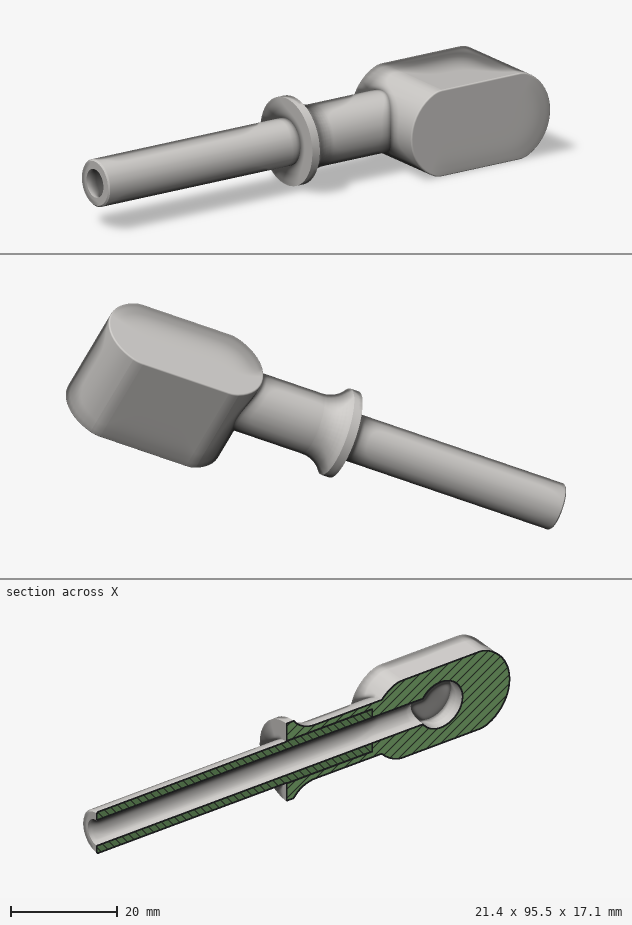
import cadquery as cq
import math


HEAD_WIDTH = 20.0
HEAD_OFFSET = 2.8
HEAD_HEIGHT = 17.1
HEAD_LENGTH = 31.9
HEAD_END_RADIUS = 9.0
HEAD_BLEND_RADIUS = 4.6
HEAD_EDGE_FILLET = 0.3

COLLAR_RADIUS = HEAD_HEIGHT / 2
COLLAR_THICKNESS = 1.7
NECK_DIAMETER = 11.9
NECK_RADIUS = NECK_DIAMETER / 2
FLARE_LENGTH = 5.0

TUBE_RADIUS = 4.6
TUBE_BORE_RADIUS = 2.8
TUBE_EXPOSED_LENGTH = 43.8
TUBE_END_CHAMFER = 0.3

AXLE_RADIUS = 5.0
AXLE_LEFT = 1.4
AXLE_HOLE_LEFT = -3.8

OVERALL_LENGTH = 95.5
HEAD_LEFT = HEAD_OFFSET - HEAD_WIDTH / 2
HEAD_RIGHT = HEAD_OFFSET + HEAD_WIDTH / 2
HEAD_BACK = OVERALL_LENGTH - TUBE_EXPOSED_LENGTH
HEAD_CENTRE = HEAD_BACK - HEAD_LENGTH / 2
HEAD_FRONT = HEAD_CENTRE - HEAD_LENGTH / 2
TUBE_INNER_END = HEAD_FRONT


def cylinder_along_y(radius, start, end):
    return cq.Workplane("XZ", origin=(0, start, 0)).circle(radius).extrude(start - end)


def cylinder_along_x(radius, start, end):
    return cq.Workplane("YZ", origin=(start, HEAD_CENTRE, 0)).circle(radius).extrude(end - start)


def make_head():
    """Flat top and bottom, arc ends, and a smaller tangent arc blending each corner."""
    half_height = HEAD_HEIGHT / 2
    half_length = HEAD_LENGTH / 2
    end_centre = half_length - HEAD_END_RADIUS
    centre_distance = HEAD_END_RADIUS - HEAD_BLEND_RADIUS
    blend_rise = half_height - HEAD_BLEND_RADIUS
    blend_run = math.sqrt(centre_distance**2 - blend_rise**2)
    flat_end = end_centre + blend_run
    end_angle = math.atan2(blend_rise, blend_run)
    tangent_y = end_centre + HEAD_END_RADIUS * math.cos(end_angle)
    tangent_z = HEAD_END_RADIUS * math.sin(end_angle)
    middle_angle = (end_angle + math.pi / 2) / 2
    blend_y = flat_end + HEAD_BLEND_RADIUS * math.cos(middle_angle)
    blend_z = blend_rise + HEAD_BLEND_RADIUS * math.sin(middle_angle)
    outline = (
        cq.Workplane("YZ", origin=(HEAD_LEFT, HEAD_CENTRE, 0))
        .moveTo(-flat_end, half_height)
        .lineTo(flat_end, half_height)
        .threePointArc((blend_y, blend_z), (tangent_y, tangent_z))
        .threePointArc((half_length, 0), (tangent_y, -tangent_z))
        .threePointArc((blend_y, -blend_z), (flat_end, -half_height))
        .lineTo(-flat_end, -half_height)
        .threePointArc((-blend_y, -blend_z), (-tangent_y, -tangent_z))
        .threePointArc((-half_length, 0), (-tangent_y, tangent_z))
        .threePointArc((-blend_y, blend_z), (-flat_end, half_height))
        .close()
    )
    return outline.extrude(HEAD_WIDTH).faces("<X or >X").edges().fillet(HEAD_EDGE_FILLET)


def make_neck():
    """Neck with a concave flare, tangent to the neck, that opens out to the collar."""
    flare_rise = COLLAR_RADIUS - NECK_RADIUS
    flare_radius = (FLARE_LENGTH**2 + flare_rise**2) / (2 * flare_rise)
    half_sweep = math.asin(FLARE_LENGTH / flare_radius) / 2
    flare_start = COLLAR_THICKNESS + FLARE_LENGTH
    flare_middle = (
        flare_start - flare_radius * math.sin(half_sweep),
        NECK_RADIUS + flare_radius * (1 - math.cos(half_sweep)),
    )
    return (
        cq.Workplane("YZ")
        .lineTo(0, COLLAR_RADIUS)
        .lineTo(COLLAR_THICKNESS, COLLAR_RADIUS)
        .threePointArc(flare_middle, (flare_start, NECK_RADIUS))
        .lineTo(HEAD_CENTRE, NECK_RADIUS)
        .lineTo(HEAD_CENTRE, 0)
        .close()
        .revolve(360, (0, 0, 0), (1, 0, 0))
    )


def make_housing():
    """Head, neck and collar in one piece, with a tube socket and an axle hole that meet."""
    socket = cylinder_along_y(TUBE_RADIUS, 0, TUBE_INNER_END)
    passage = cylinder_along_y(TUBE_BORE_RADIUS, 0, HEAD_CENTRE)
    axle_hole = cylinder_along_x(AXLE_RADIUS, AXLE_HOLE_LEFT, HEAD_RIGHT)
    return make_head().union(make_neck()).cut(socket).cut(passage).cut(axle_hole)


def make_tube():
    """Plain tube, open at both ends, with a small chamfer around its free end."""
    outside = cylinder_along_y(TUBE_RADIUS, -TUBE_EXPOSED_LENGTH, TUBE_INNER_END)
    bore = cylinder_along_y(TUBE_BORE_RADIUS, -TUBE_EXPOSED_LENGTH, TUBE_INNER_END)
    return outside.faces("<Y").edges().chamfer(TUBE_END_CHAMFER).cut(bore)


def make_axle():
    """Solid round bar, flush with the +X side of the head and short of the end of its hole."""
    return cylinder_along_x(AXLE_RADIUS, AXLE_LEFT, HEAD_RIGHT)


housing = make_housing()
tube = make_tube()
axle = make_axle()

result = cq.Compound.makeCompound([housing.val(), tube.val(), axle.val()])